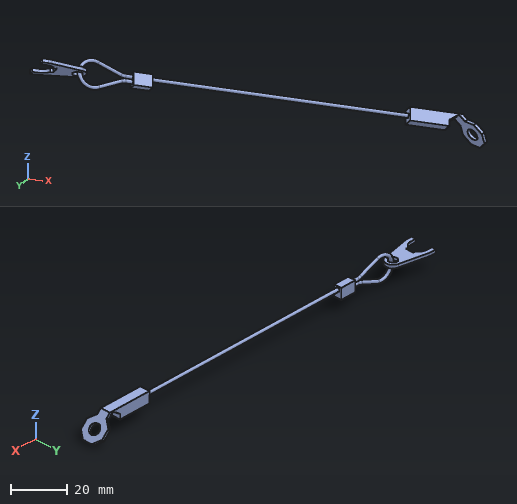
import cadquery as cq
import math


plate_thickness = 1.5
fork_width = 12.4
fork_shoulder_x = 3.0
shoulder_radius = 6.9
eye_x = 15.8
eye_outer_radius = 3.5
eye_hole_radius = 1.9
mouth_radius = 4.0
mouth_center_x = 2.5
notch_width = 3.6
notch_end_x = 7.2

cable_radius = 0.9
strand_z = 0.95
loop_radius = 5.2
loop_center_x = 21.8
throat_radius = 4.1
throat_x = 34.0
ferrule_start_x = 36.7
ferrule_length = 7.2
ferrule_width = 3.6
ferrule_height = 5.2
ferrule_center_z = -0.2

terminal_start_x = 142.2
terminal_width = 4.6
terminal_height = 5.3
terminal_top_z = 3.6
terminal_bottom_z = terminal_top_z - terminal_height
body_end_x = 157.3
slope_start_z = 0.7
part_length = 171.7
tab_angle = 45.0
tab_length = 13.0
tab_thickness = 1.46
tab_octagon_width = 10.6
tab_hole_diameter = 4.6
tab_root_rise = 0.43
bend_x = part_length - tab_length * math.cos(math.radians(tab_angle))


def make_fork():
    """Flat fork with a stepped mouth and a round eye for the cable loop."""
    half_width = fork_width / 2
    shoulder_distance = math.hypot(eye_x - fork_shoulder_x, half_width)
    normal_angle = (math.pi - math.atan2(half_width, eye_x - fork_shoulder_x)
                    - math.acos(eye_outer_radius / shoulder_distance))
    tangent_x = eye_x + eye_outer_radius * math.cos(normal_angle)
    tangent_y = eye_outer_radius * math.sin(normal_angle)
    base_z = -plate_thickness / 2

    plate = (
        cq.Workplane("XY", origin=(0, 0, base_z))
        .moveTo(0, -half_width)
        .lineTo(fork_shoulder_x, -half_width)
        .lineTo(tangent_x, -tangent_y)
        .threePointArc((eye_x + eye_outer_radius, 0), (tangent_x, tangent_y))
        .lineTo(fork_shoulder_x, half_width)
        .lineTo(0, half_width)
        .close()
        .extrude(plate_thickness)
    )
    for side in (-1, 1):
        shoulder_point = (fork_shoulder_x, side * half_width, 0)
        plate = plate.edges(cq.selectors.NearestToPointSelector(shoulder_point)).fillet(shoulder_radius)

    mouth = (
        cq.Workplane("XY", origin=(0, 0, base_z))
        .moveTo(0, -mouth_radius)
        .lineTo(mouth_center_x, -mouth_radius)
        .threePointArc((mouth_center_x + mouth_radius, 0), (mouth_center_x, mouth_radius))
        .lineTo(0, mouth_radius)
        .close()
        .extrude(plate_thickness)
    )
    notch = cq.Workplane("XY").box(
        notch_end_x, notch_width, plate_thickness, centered=(False, True, True)
    )
    eye_hole = (
        cq.Workplane("XY", origin=(eye_x, 0, base_z)).circle(eye_hole_radius).extrude(plate_thickness)
    )
    return plate.cut(mouth).cut(notch).cut(eye_hole)


def make_strand(end_x):
    """Upper half of the looped cable: a straight run, throat bend, leg and half of the loop."""
    throat_center_z = strand_z + throat_radius
    center_dx = throat_x - loop_center_x
    center_distance = math.hypot(center_dx, throat_center_z)
    leg_angle = (math.asin((loop_radius + throat_radius) / center_distance)
                 - math.atan2(throat_center_z, center_dx))

    def throat_point(angle):
        return (throat_x - throat_radius * math.sin(angle),
                throat_center_z - throat_radius * math.cos(angle))

    def loop_point(angle):
        return (loop_center_x + loop_radius * math.sin(angle),
                loop_radius * math.cos(angle))

    loop_end_angle = -math.pi / 2
    path = (
        cq.Workplane("XZ")
        .moveTo(end_x, strand_z)
        .lineTo(*throat_point(0))
        .threePointArc(throat_point(leg_angle / 2), throat_point(leg_angle))
        .lineTo(*loop_point(leg_angle))
        .threePointArc(loop_point((leg_angle + loop_end_angle) / 2), loop_point(loop_end_angle))
    )
    return cq.Workplane("YZ", origin=(end_x, 0, strand_z)).circle(cable_radius).sweep(path)


def make_cable():
    """Looped cable with its crimped ferrule; the tail ends inside the ferrule."""
    ferrule_center_x = ferrule_start_x + ferrule_length / 2
    ferrule = cq.Workplane("XY", origin=(ferrule_center_x, 0, ferrule_center_z)).box(
        ferrule_length, ferrule_width, ferrule_height
    )
    upper_strand = make_strand(terminal_start_x)
    lower_strand = make_strand(ferrule_center_x).mirror("XY")
    return upper_strand.union(lower_strand).union(ferrule)


def make_terminal():
    """Rectangular terminal whose top runs out into a bent octagonal eye tab."""
    angle = math.radians(tab_angle)
    underside_offset = (tab_thickness - tab_root_rise * math.cos(angle)) / math.sin(angle)
    corner_x = bend_x - underside_offset
    corner_z = terminal_top_z - tab_root_rise
    body = (
        cq.Workplane("XZ")
        .moveTo(terminal_start_x, terminal_bottom_z)
        .lineTo(body_end_x, terminal_bottom_z)
        .lineTo(body_end_x, slope_start_z)
        .lineTo(corner_x, corner_z)
        .lineTo(bend_x - tab_thickness * math.sin(angle), terminal_top_z - tab_thickness * math.cos(angle))
        .lineTo(bend_x, terminal_top_z)
        .lineTo(terminal_start_x, terminal_top_z)
        .close()
        .extrude(terminal_width / 2, both=True)
    )

    tab_plane = cq.Plane(
        origin=(bend_x, 0, terminal_top_z),
        xDir=(math.cos(angle), 0, -math.sin(angle)),
        normal=(math.sin(angle), 0, math.cos(angle)),
    )
    octagon_center = tab_length - tab_octagon_width / 2
    half_flats = tab_octagon_width / 2
    half_side = half_flats * math.tan(math.pi / 8)
    octagon_points = [
        (half_flats, -half_side), (half_flats, half_side),
        (half_side, half_flats), (-half_side, half_flats),
        (-half_flats, half_side), (-half_flats, -half_side),
        (-half_side, -half_flats), (half_side, -half_flats),
    ]
    neck = (
        cq.Workplane(tab_plane)
        .center(octagon_center / 2, 0)
        .rect(octagon_center, terminal_width)
        .extrude(-tab_thickness)
    )
    octagon = (
        cq.Workplane(tab_plane)
        .center(octagon_center, 0)
        .polyline(octagon_points)
        .close()
        .extrude(-tab_thickness)
    )
    tab_hole = (
        cq.Workplane(tab_plane)
        .center(octagon_center, 0)
        .circle(tab_hole_diameter / 2)
        .extrude(-tab_thickness)
    )
    return body.union(neck).union(octagon).cut(tab_hole)


fork = make_fork()
cable = make_cable()
terminal = make_terminal()

result = cq.Compound.makeCompound([*fork.solids().vals(), *cable.solids().vals(), *terminal.solids().vals()])